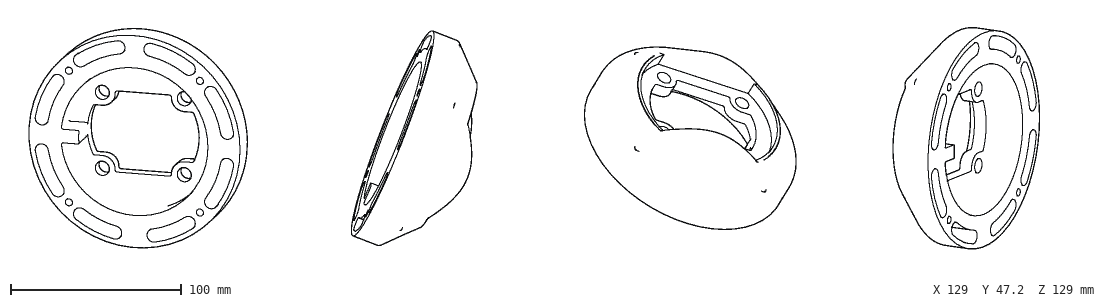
import cadquery as cq
import math

selection_margin = 0.1

outer_radius = 64.5
cone_sum = 80.8
overall_depth = 47.2
shoulder_fillet = 2.3

saddle_half_height = 33.0
saddle_floor = 35.0
saddle_edge_fillet = 0.4

bore_radius = 44.9
bore_depth = 18.5
bore_fillet = 3.1
web_back = 26.5
recess_radius = 43.9

tab_half_width = 4.1
tab_root_fillet = 1.3
tab_tip_fillet = 0.8

window_radius = 34.0
window_half_height = 24.6
window_half_width = 17.2
side_half_height = 15.2
window_corner_fillet = 1.3

mount_hole_diameter = 8.5
mount_x = 25.0
mount_z = 23.1
mount_land_radius = mount_x - window_half_width

screw_hole_diameter = 4.3
screw_offset = 40.0
screw_hole_depth = 22.3

slot_radius = 57.4
slot_width = 8.0
slot_floor_sum = 75.2
slot_floor_fillet = 1.8
slot_far_angle = 35.3
slot_near_angle = 9.8
bottom_slot_near_angle = 11.8


def front_plane(depth=0.0):
    """Workplane at Y = depth, X right and Z up; positive extrusions run toward -Y."""
    return cq.Workplane("XZ", origin=(0, depth, 0))


def cylinder(radius, start, end, x=0.0, z=0.0):
    return front_plane(end).center(x, z).circle(radius).extrude(end - start)


def block(width, height, start, end, x=0.0, z=0.0):
    return front_plane(end).center(x, z).rect(width, height).extrude(end - start)


def turned(points):
    """Revolve a closed (radius, Y) outline about the Y axis."""
    return cq.Workplane("XY").polyline(points).close().revolve(360, (0, 0, 0), (0, 1, 0))


def upright_edge(x, z, middle_depth):
    """Selector for the edge along Y at (x, z) whose middle lies at the given depth."""
    return cq.selectors.BoxSelector(
        (x - selection_margin, middle_depth - selection_margin, z - selection_margin),
        (x + selection_margin, middle_depth + selection_margin, z + selection_margin))


def outer_shell():
    """Disc and cone with a rounded shoulder, cut across the back by the saddle."""
    shoulder = cone_sum - outer_radius
    shell = turned([(0, 0), (outer_radius, 0), (outer_radius, shoulder), (0, cone_sum)])
    at_shoulder = cq.selectors.BoxSelector(
        (-2 * outer_radius, shoulder - selection_margin, -2 * outer_radius),
        (2 * outer_radius, shoulder + selection_margin, 2 * outer_radius), boundingbox=True)
    shell = shell.edges(at_shoulder).fillet(shoulder_fillet)
    shell = shell.cut(block(3 * outer_radius, 2 * saddle_half_height, saddle_floor, 2 * overall_depth))
    cone_edges = shell.faces("%CONE").edges().vals()
    saddle_edges = [edge for edge in cone_edges if edge.Center().y > saddle_floor - selection_margin]
    return shell.newObject(saddle_edges).fillet(saddle_edge_fillet)


def bore():
    """Round cavity with a filleted floor, leaving a key tab standing on its -X side."""
    plan = cylinder(bore_radius, 0, bore_depth)
    plan = plan.cut(block(bore_radius, 2 * tab_half_width, 0, bore_depth, x=-bore_radius))
    root_x = -math.sqrt(bore_radius ** 2 - tab_half_width ** 2)
    for side in (-1, 1):
        root = upright_edge(root_x, side * tab_half_width, bore_depth / 2)
        plan = plan.edges(root).fillet(tab_root_fillet)
    round_cavity = cylinder(bore_radius, 0, bore_depth).faces(">Y").edges().fillet(bore_fillet)
    return round_cavity.intersect(plan)


def rear_recess():
    """Round recess behind the web, no taller than the saddle."""
    recess = cylinder(recess_radius, web_back, overall_depth)
    return recess.intersect(block(3 * outer_radius, 2 * saddle_half_height, 0, 2 * overall_depth))


def window():
    """Opening with flat top and bottom, arched sides and round lands at the mounting holes."""
    middle = block(2 * window_half_width, 2 * window_half_height, 0, overall_depth)
    sides = cylinder(window_radius, 0, overall_depth)
    sides = sides.intersect(block(3 * window_radius, 2 * side_half_height, 0, overall_depth))
    opening = middle.union(sides)
    side_x = math.sqrt(window_radius ** 2 - side_half_height ** 2)
    corners = (
        (window_half_width, side_half_height, mount_land_radius),
        (window_half_width, window_half_height, window_corner_fillet),
        (side_x, side_half_height, window_corner_fillet),
    )
    for x, z, radius in corners:
        for sx in (-1, 1):
            for sz in (-1, 1):
                corner = upright_edge(sx * x, sz * z, overall_depth / 2)
                opening = opening.edges(corner).fillet(radius)
    return opening


def slot_core(start_angle, end_angle):
    """The slot shrunk inward on all sides by its floor fillet radius."""
    half_width = slot_width / 2 - slot_floor_fillet
    floor_sum = slot_floor_sum - slot_floor_fillet * math.sqrt(2)
    inner = slot_radius - half_width
    outer = slot_radius + half_width
    middle_angle = (start_angle + end_angle) / 2

    def point(angle, radial, along=0.0):
        """Point at an angle and radius, shifted along the circle's tangent there."""
        cosine = math.cos(math.radians(angle))
        sine = math.sin(math.radians(angle))
        return (radial * cosine - along * sine, radial * sine + along * cosine)

    outline = (
        front_plane(overall_depth)
        .moveTo(*point(start_angle, inner))
        .threePointArc(point(middle_angle, inner), point(end_angle, inner))
        .threePointArc(point(end_angle, slot_radius, half_width), point(end_angle, outer))
        .threePointArc(point(middle_angle, outer), point(start_angle, outer))
        .threePointArc(point(start_angle, slot_radius, -half_width), point(start_angle, inner))
        .close()
    )
    floor_cone = turned([(0, 0), (floor_sum, 0), (0, floor_sum)])
    return outline.extrude(overall_depth).intersect(floor_cone)


def slot(start_angle, end_angle):
    """Curved slot whose end centres lie at the two angles, counted from +X toward +Z.

    Growing the core by the fillet radius rounds the floor edges; the rounding
    at the mouth falls in front of the part.
    """
    core = slot_core(start_angle, end_angle)
    return core.shell(slot_floor_fillet, kind="arc").union(core)


result = outer_shell().cut(bore()).cut(rear_recess()).cut(window())

tab_tip_x = -math.sqrt(window_radius ** 2 - tab_half_width ** 2)
for side in (-1, 1):
    tip_corner = upright_edge(tab_tip_x, side * tab_half_width, bore_depth / 2)
    result = result.edges(tip_corner).fillet(tab_tip_fillet)

for sx in (-1, 1):
    for sz in (-1, 1):
        mount_hole = cylinder(mount_hole_diameter / 2, 0, overall_depth, sx * mount_x, sz * mount_z)
        screw_hole = cylinder(
            screw_hole_diameter / 2, 0, screw_hole_depth, sx * screw_offset, sz * screw_offset)
        result = result.cut(mount_hole).cut(screw_hole)

for axis_angle in (0, 90, 180, 270):
    near_angle = bottom_slot_near_angle if axis_angle == 270 else slot_near_angle
    result = result.cut(slot(axis_angle + near_angle, axis_angle + slot_far_angle))
    result = result.cut(slot(axis_angle - slot_far_angle, axis_angle - near_angle))